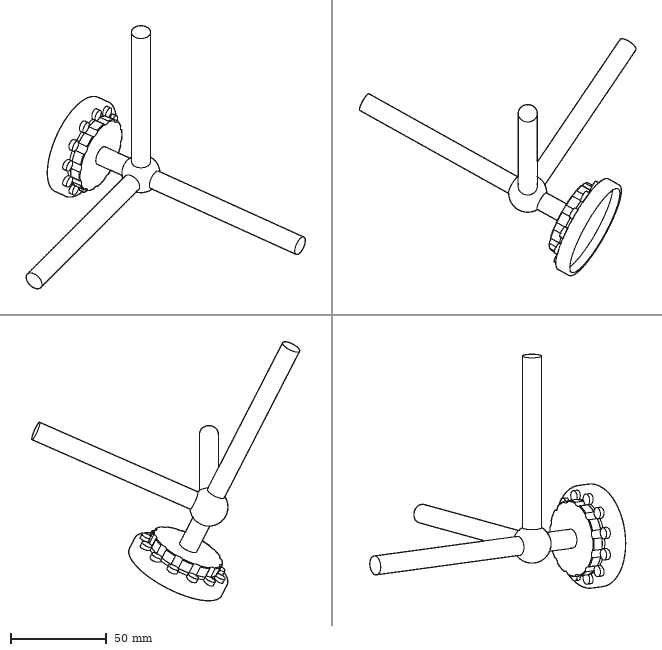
import cadquery as cq


overall_length = 141
arm_length = 100.0
rod_diameter = 10.0
rod_radius = rod_diameter / 2
ball_radius = 10.0

foot_reach = overall_length - arm_length
disc_radius = 27.1
rim_height = 7.5
rim_round = 0.5
recess_radius = 25.0
recess_depth = 4.5

knob_radius = 20.0
knob_base_height = 8.6
knob_height = 16.0
knob_chamfer = 0.4
scallop_radius = 2.8

lobe_count = 12
lobe_pitch = 360 / lobe_count
lobe_circle_radius = 21.7
lobe_radius = 3.0
lobe_height = 10.3
ring_radius = 19.9

foot_plane = cq.Plane(origin=(-foot_reach, 0, 0), xDir=(0, 1, 0), normal=(1, 0, 0))


def make_rod(direction, length):
    """Round rod from the ball centre outwards."""
    rod_plane = cq.Plane(origin=(0, 0, 0), normal=direction)
    return cq.Workplane(rod_plane).circle(rod_radius).extrude(length)


def foot_cylinder(radius, height):
    """Cylinder on the foot axis, standing on the open face of the foot."""
    return cq.Workplane(foot_plane).circle(radius).extrude(height)


def make_disc():
    """Disc with rounded rim edges and a shallow conical back."""
    disc = (
        cq.Workplane("XY", origin=(-foot_reach, 0, 0))
        .moveTo(0, 0)
        .lineTo(0, disc_radius)
        .lineTo(rim_height, disc_radius)
        .lineTo(knob_base_height, knob_radius)
        .lineTo(knob_base_height, 0)
        .close()
        .revolve(360, (0, 0, 0), (1, 0, 0))
    )
    return disc.faces("%CYLINDER").edges("%CIRCLE").fillet(rim_round)


def lobe_circle_cylinders(radius, height):
    """Cylinders on the lobe axes, standing on the open face of the foot."""
    return (
        cq.Workplane(foot_plane)
        .polarArray(lobe_circle_radius, lobe_pitch / 2, 360, lobe_count)
        .circle(radius)
        .extrude(height)
    )


def make_knob():
    """Cylindrical knob with a chamfered end and a scallop behind each lobe."""
    blank = foot_cylinder(knob_radius, knob_height).faces(">X").chamfer(knob_chamfer)
    space_below_knob = foot_cylinder(knob_radius, lobe_height)
    scallops = lobe_circle_cylinders(scallop_radius, knob_height)
    return blank.cut(space_below_knob).cut(scallops)


def make_lobes():
    """Low ring with the round lobes standing out of it."""
    ring = foot_cylinder(ring_radius, lobe_height)
    return ring.union(lobe_circle_cylinders(lobe_radius, lobe_height))


def make_foot():
    """Disc, lobes and knob, with the round recess in the open face."""
    foot = make_disc().union(make_lobes()).union(make_knob())
    return foot.cut(foot_cylinder(recess_radius, recess_depth))


def make_hub():
    """Ball with three arms along +X, -Y and +Z, and the neck along -X."""
    hub = cq.Workplane("XY").sphere(ball_radius)
    for direction in [(1, 0, 0), (0, -1, 0), (0, 0, 1)]:
        hub = hub.union(make_rod(direction, arm_length))
    neck_length = foot_reach - knob_base_height
    return hub.union(make_rod((-1, 0, 0), neck_length))


result = make_hub().union(make_foot())